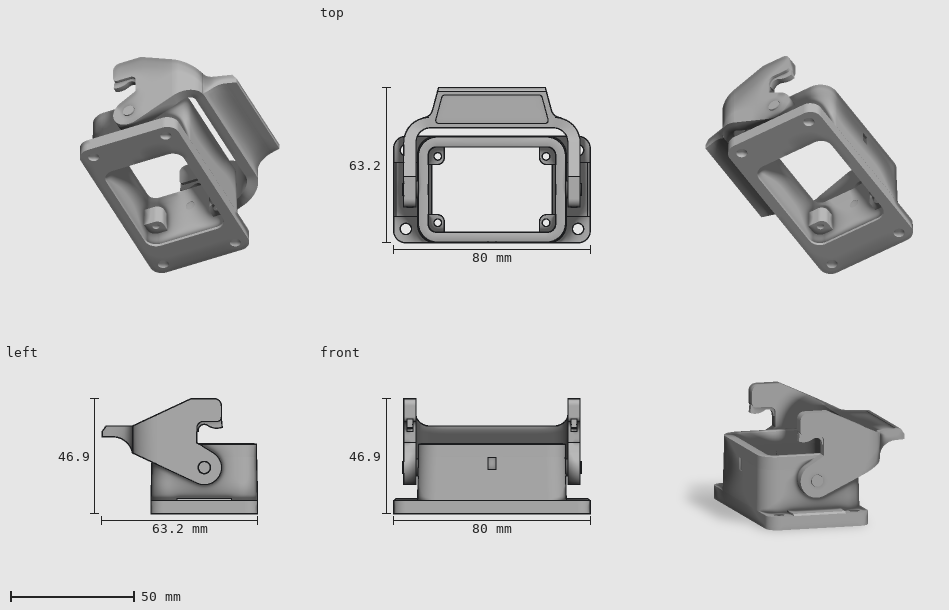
import cadquery as cq
import math

flange_length = 80.01
flange_width = 43.4
flange_thickness = 5.5
flange_base_height = 1.2
flange_draft_inset = 0.04
flange_corner_radius = 5.0
mounting_hole_diameter = 4.5
mounting_hole_x = 35.0
mounting_hole_y = 16.0
strip_width = 22.0
strip_height = 0.75
strip_foot_x = 39.8
strip_top_x = 38.9

wall_length = 60.5
wall_draft_inset = 0.4
wall_corner_radius = 7.5
wall_thickness = 4.0
band_bottom_z = 23.0
band_top_z = 28.3
rim_crown_height = 0.3
band_length = wall_length - 2 * wall_draft_inset
band_width = flange_width - 2 * wall_draft_inset
cavity_length = band_length - 2 * wall_thickness
cavity_width = band_width - 2 * wall_thickness
cavity_corner_radius = wall_corner_radius - wall_thickness

floor_thickness = 1.2
floor_opening_length = 48.9
floor_opening_radius = 5.0
cavity_middle_widening = 0.15
cavity_floor_widening = 0.5
post_inner_x = 19.3
post_inner_y = 10.1
post_top_z = 17.35
post_bottom_z = 9.0
post_edge_radius = 3.0
post_hole_diameter = 3.0
post_hole_x = 22.0
post_hole_y = 13.5
notch_width = 3.4
notch_height = 5.0
notch_depth = 1.0

pivot_z = 18.85
pivot_diameter = 4.8
pivot_end_x = 36.4
pivot_boss_diameter = 7.0
pivot_mark_diameter = 4.0
pivot_mark_depth = 0.1

arm_outer_x = 35.85
arm_thickness = 5.0
arm_inner_x = arm_outer_x - arm_thickness
arm_hole_diameter = 5.1
arm_eye_radius = 7.0
arm_top_z = 46.9
arm_slope = 25.0
arm_slope_start_y = 5.3
hook_front_y = -7.0
hook_bottom_z = 37.6
hook_nose_radius = 3.0
hook_lip_radius = 1.75
throat_y = 3.0
throat_radius = 2.6
throat_bottom_z = 28.95

tooth_width = 2.4
tooth_root_z = 38.5
tooth_front_y = -7.35
tooth_foot_z = 33.4
tooth_arch_radius = 2.45
tooth_arch_z = 33.9
tooth_wave_y = -1.3
tooth_belly = (-4.4, 34.8)
tooth_tip_z = 35.2

bend_start_y = 19.2
bend_inner_center_x = 25.0
bend_outer_center_x = 25.8
bend_inner_radius = arm_inner_x - bend_inner_center_x
bend_outer_radius = arm_outer_x - bend_outer_center_x
bar_front_y = bend_start_y + bend_inner_radius
bar_back_y = bend_start_y + bend_outer_radius
handle_end_y = 41.5
handle_side_angle = 15.0
handle_side_fillet = 4.0
handle_root_x = 25.0
handle_underside_z = 31.3
handle_arc_end_y = 37.2
handle_bevel_y = 1.6
handle_bevel_z = 2.2
panel_front_y = 26.9
panel_back_y = 38.4
panel_margin = 2.4
panel_corner_radius = 1.2
panel_depth = 0.3

slope = math.tan(math.radians(arm_slope))
slope_drop = bend_outer_radius * slope
bend_start_top_z = arm_top_z - slope * (bend_start_y - arm_slope_start_y)
bend_start_bottom_z = (
    pivot_z + slope * bend_start_y - arm_eye_radius / math.cos(math.radians(arm_slope))
)
bar_top_z = bend_start_top_z - slope_drop
bar_bottom_z = bend_start_bottom_z + slope_drop


def rounded_outline(length, width, radius):
    return cq.Sketch().rect(length, width).vertices().fillet(radius)


def rounded_block(length, width, height, radius, bottom_z):
    outline = rounded_outline(length, width, radius)
    return cq.Workplane("XY", origin=(0, 0, bottom_z)).placeSketch(outline).extrude(height)


def drafted_block(length, width, height, radius, bottom_z, inset):
    """Block with a constant corner radius whose sides lean in by inset from bottom to top."""
    bottom = rounded_outline(length, width, radius)
    top = rounded_outline(length - 2 * inset, width - 2 * inset, radius)
    top = top.moved(cq.Location(cq.Vector(0, 0, height)))
    return cq.Workplane("XY", origin=(0, 0, bottom_z)).placeSketch(bottom, top).loft(ruled=True)


def cylinder_along_x(diameter, start_x, end_x):
    plane = cq.Workplane("YZ", origin=(start_x, 0, pivot_z))
    return plane.circle(diameter / 2).extrude(end_x - start_x)


def both_sides(shape):
    return shape.union(shape.mirror("YZ"))


def make_flange():
    base = rounded_block(flange_length, flange_width, flange_base_height, flange_corner_radius, 0)
    drafted_height = flange_thickness - flange_base_height
    flange = base.union(
        drafted_block(
            flange_length,
            flange_width,
            drafted_height,
            flange_corner_radius,
            flange_base_height,
            flange_draft_inset,
        )
    )
    strip = (
        cq.Workplane("XZ", origin=(0, strip_width / 2, 0))
        .polyline([
            (-strip_foot_x, flange_thickness),
            (-strip_top_x, flange_thickness + strip_height),
            (strip_top_x, flange_thickness + strip_height),
            (strip_foot_x, flange_thickness),
        ])
        .close()
        .extrude(strip_width)
    )
    holes = (
        cq.Workplane("XY")
        .rect(2 * mounting_hole_x, 2 * mounting_hole_y, forConstruction=True)
        .vertices()
        .circle(mounting_hole_diameter / 2)
        .extrude(flange_thickness)
    )
    return flange.union(strip).cut(holes)


def make_wall():
    drafted_height = band_bottom_z - flange_thickness
    wall = drafted_block(
        wall_length,
        flange_width,
        drafted_height,
        wall_corner_radius,
        flange_thickness,
        wall_draft_inset,
    )
    band_height = band_top_z - band_bottom_z
    return wall.union(
        rounded_block(band_length, band_width, band_height, wall_corner_radius, band_bottom_z)
    )


def make_rim_crown():
    """Shallow arched ring that rounds over the top of the wall."""
    path_length = band_length - wall_thickness
    path_width = band_width - wall_thickness
    path_radius = wall_corner_radius - wall_thickness / 2
    path = (
        rounded_block(path_length, path_width, 1, path_radius, band_top_z).faces("<Z").wires()
    )
    path_start_y = -path_width / 2
    profile = (
        cq.Workplane("YZ", origin=(0, path_start_y, band_top_z))
        .moveTo(-wall_thickness / 2, 0)
        .threePointArc((0, rim_crown_height), (wall_thickness / 2, 0))
        .close()
    )
    return profile.sweep(path)


def make_cavity():
    """Straight upper part, two drafted parts that widen downwards, and the floor opening."""
    cavity = rounded_block(
        cavity_length, cavity_width, band_top_z - band_bottom_z, cavity_corner_radius, band_bottom_z
    )
    top_z = band_bottom_z
    top_widening = 0
    for bottom_z, widening in (
        (post_top_z, cavity_middle_widening),
        (floor_thickness, cavity_floor_widening),
    ):
        cavity = cavity.union(
            drafted_block(
                cavity_length + 2 * widening,
                cavity_width + 2 * widening,
                top_z - bottom_z,
                cavity_corner_radius,
                bottom_z,
                widening - top_widening,
            )
        )
        top_z = bottom_z
        top_widening = widening
    opening = rounded_block(
        floor_opening_length, cavity_width, floor_thickness, floor_opening_radius, 0
    )
    return cavity.union(opening)


def make_screw_posts():
    """Four posts hanging from the inner corners, each with a vertical screw hole."""
    post_outer_x = cavity_length / 2 + wall_thickness / 2
    post_outer_y = cavity_width / 2 + wall_thickness / 2
    post = (
        cq.Workplane("XY", origin=(0, 0, post_bottom_z))
        .moveTo(post_inner_x, post_inner_y)
        .lineTo(post_outer_x, post_inner_y)
        .lineTo(post_outer_x, post_outer_y)
        .lineTo(post_inner_x, post_outer_y)
        .close()
        .extrude(post_top_z - post_bottom_z)
        .edges("|Z and <X and <Y")
        .fillet(post_edge_radius)
    )
    post = post.intersect(
        rounded_block(band_length, band_width, band_top_z, wall_corner_radius, 0)
    )
    hole = (
        cq.Workplane("XY", origin=(post_hole_x, post_hole_y, post_bottom_z))
        .circle(post_hole_diameter / 2)
        .extrude(post_top_z - post_bottom_z)
    )
    pair = both_sides(post.cut(hole))
    return pair.union(pair.mirror("XZ"))


def make_front_notch():
    notch_face_y = -flange_width / 2
    depth = notch_depth + wall_draft_inset
    return cq.Workplane("XY").box(
        notch_width, depth, notch_height, centered=(True, False, False)
    ).translate((0, notch_face_y, band_bottom_z - notch_height))


def make_housing():
    body = make_flange().union(make_wall()).cut(make_cavity())
    body = body.union(make_rim_crown()).union(make_screw_posts()).cut(make_front_notch())
    wall_middle_x = (band_length - wall_thickness) / 2
    boss = cylinder_along_x(pivot_boss_diameter, wall_middle_x, arm_inner_x)
    pin = cylinder_along_x(pivot_diameter, wall_middle_x, pivot_end_x)
    mark_end_x = cavity_length / 2 + cavity_middle_widening + pivot_mark_depth
    mark = cylinder_along_x(pivot_mark_diameter, 0, mark_end_x)
    return body.union(both_sides(boss.union(pin))).cut(both_sides(mark))


def make_arm():
    """Flat side arm with its pivot eye and the open hook, at +X."""
    rise = throat_bottom_z - pivot_z
    reach = math.hypot(throat_y, rise)
    tangent_angle = math.atan2(rise, throat_y) + math.acos(arm_eye_radius / reach)
    eye_top = (
        arm_eye_radius * math.cos(tangent_angle),
        pivot_z + arm_eye_radius * math.sin(tangent_angle),
    )
    slope_angle = math.radians(arm_slope)
    eye_bottom = (
        arm_eye_radius * math.sin(slope_angle),
        pivot_z - arm_eye_radius * math.cos(slope_angle),
    )
    plate = (
        cq.Workplane("YZ", origin=(arm_inner_x, 0, 0))
        .moveTo(bend_start_y, bend_start_top_z)
        .lineTo(arm_slope_start_y, arm_top_z)
        .lineTo(hook_front_y + hook_nose_radius, arm_top_z)
        .radiusArc((hook_front_y, arm_top_z - hook_nose_radius), -hook_nose_radius)
        .lineTo(hook_front_y, hook_bottom_z + hook_lip_radius)
        .radiusArc((hook_front_y + hook_lip_radius, hook_bottom_z), -hook_lip_radius)
        .lineTo(throat_y - throat_radius, hook_bottom_z)
        .radiusArc((throat_y, hook_bottom_z - throat_radius), throat_radius)
        .lineTo(throat_y, throat_bottom_z)
        .lineTo(*eye_top)
        .threePointArc((-arm_eye_radius, pivot_z), eye_bottom)
        .lineTo(bend_start_y, bend_start_bottom_z)
        .close()
        .extrude(arm_thickness)
    )
    hole = cylinder_along_x(arm_hole_diameter, arm_inner_x, arm_outer_x)
    return plate.cut(hole)


def make_tooth():
    """Narrow wavy latch tooth lining the underside of the hook, at +X."""
    wave_z = tooth_arch_z + math.sqrt(tooth_arch_radius**2 - tooth_wave_y**2)
    root_y = throat_y + throat_radius
    tooth_start_x = arm_inner_x + (arm_thickness - tooth_width) / 2
    return (
        cq.Workplane("YZ", origin=(tooth_start_x, 0, 0))
        .moveTo(root_y, tooth_root_z)
        .lineTo(root_y, tooth_foot_z)
        .lineTo(tooth_arch_radius, tooth_foot_z)
        .lineTo(tooth_arch_radius, tooth_arch_z)
        .threePointArc((0, tooth_arch_z + tooth_arch_radius), (tooth_wave_y, wave_z))
        .threePointArc(tooth_belly, (tooth_front_y, tooth_tip_z))
        .lineTo(hook_front_y, tooth_root_z)
        .close()
        .extrude(tooth_width)
    )


def bend_edge(center_x, radius, start_z, drop):
    """Quarter ellipse from the arm to the bar, falling by drop on the way."""
    toward_bar = cq.Vector(0, radius, -drop)
    normal = toward_bar.cross(cq.Vector(-1, 0, 0))
    return cq.Edge.makeEllipse(
        toward_bar.Length,
        radius,
        cq.Vector(center_x, bend_start_y, start_z),
        normal,
        toward_bar,
        270,
        360,
    )


def make_bend():
    """Curved corner between an arm and the bar; it narrows from the arm towards the bar."""
    top_inner = bend_edge(bend_inner_center_x, bend_inner_radius, bend_start_top_z, slope_drop)
    top_outer = bend_edge(bend_outer_center_x, bend_outer_radius, bend_start_top_z, slope_drop)
    bottom_inner = bend_edge(bend_inner_center_x, bend_inner_radius, bend_start_bottom_z, -slope_drop)
    bottom_outer = bend_edge(bend_outer_center_x, bend_outer_radius, bend_start_bottom_z, -slope_drop)
    loop = [top_inner, top_outer, bottom_outer, bottom_inner]
    faces = []
    for index, edge in enumerate(loop):
        faces.append(cq.Face.makeRuledSurface(edge, loop[index - 1]))
    for end in (0, 1):
        corners = [edge.positionAt(end) for edge in loop]
        faces.append(cq.Face.makeFromWires(cq.Wire.makePolygon(corners, close=True)))
    return cq.Workplane(cq.Solid.makeSolid(cq.Shell.makeShell(faces)))


def handle_half_width(y):
    return handle_root_x - (y - bar_back_y) * math.tan(math.radians(handle_side_angle))


def make_handle():
    """Bar between the bends with the tapering grip behind it."""
    tangent_length = handle_side_fillet * math.tan(math.radians((90 - handle_side_angle) / 2))
    fillet_top_y = bar_back_y + tangent_length * math.cos(math.radians(handle_side_angle))
    fillet_foot_x = handle_root_x + tangent_length
    fillet_top = (handle_half_width(fillet_top_y), fillet_top_y)
    half_plan = (
        cq.Workplane("XY", origin=(0, 0, bar_bottom_z))
        .moveTo(0, bar_front_y)
        .lineTo(0, handle_end_y)
        .lineTo(handle_half_width(handle_end_y), handle_end_y)
        .lineTo(*fillet_top)
        .tangentArcPoint((fillet_foot_x, bar_back_y), relative=False)
        .lineTo(bend_inner_center_x, bar_front_y)
        .close()
        .extrude(bar_top_z - bar_bottom_z)
    )
    side = (
        cq.Workplane("YZ")
        .moveTo(bar_front_y, bar_top_z)
        .lineTo(handle_end_y - handle_bevel_y, bar_top_z)
        .lineTo(handle_end_y, bar_top_z - handle_bevel_z)
        .lineTo(handle_end_y, handle_underside_z)
        .lineTo(handle_arc_end_y, handle_underside_z)
        .tangentArcPoint((bar_back_y, bar_bottom_z), relative=False)
        .lineTo(bar_front_y, bar_bottom_z)
        .close()
        .extrude(flange_length / 2, both=True)
    )
    panel_front_x = handle_half_width(panel_front_y) - panel_margin
    panel_back_x = handle_half_width(panel_back_y) - panel_margin
    panel = (
        cq.Workplane("XY", origin=(0, 0, bar_top_z - panel_depth))
        .polyline([
            (-panel_front_x, panel_front_y),
            (panel_front_x, panel_front_y),
            (panel_back_x, panel_back_y),
            (-panel_back_x, panel_back_y),
        ])
        .close()
        .extrude(panel_depth)
        .edges("|Z")
        .fillet(panel_corner_radius)
    )
    return both_sides(half_plan).intersect(side).cut(panel)


def make_lever():
    side_arm = make_arm().union(make_tooth()).union(make_bend())
    return make_handle().union(both_sides(side_arm))


housing = make_housing()
lever = make_lever()

result = cq.Compound.makeCompound([housing.val(), lever.val()])